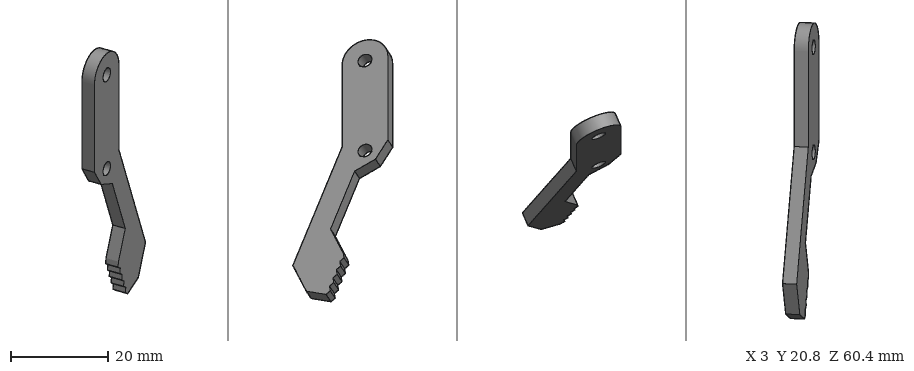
import cadquery as cq
import math

thickness = 3.0

plate_half_width = 5.0
hole_spacing = 22.0
hole_diameter = 3.0
bend_height = 2.0
front_edge_height = 1.5

arm_tilt = math.radians(22.0)
arm_width = 5.0
shoulder_along = 5.05
shoulder_rise = 3.5

back_corner_along = 28.8
jaw_end_along = 34.1
jaw_width = 10.0

tooth_count = 5
tooth_pitch = 2.0
tooth_height = 0.6
teeth_start_along = jaw_end_along - tooth_count * tooth_pitch


def arm_point(along, across):
    """Convert arm coordinates to (Y, Z)."""
    y = plate_half_width + along * math.sin(arm_tilt) - across * math.cos(arm_tilt)
    z = bend_height - along * math.cos(arm_tilt) - across * math.sin(arm_tilt)
    return (y, z)


def tooth_points():
    """Tip and following root of every tooth, from the throat to the jaw end."""
    points = []
    for index in range(tooth_count):
        root_along = teeth_start_along + index * tooth_pitch
        points.append(arm_point(root_along + tooth_pitch / 2, jaw_width + tooth_height))
        points.append(arm_point(root_along + tooth_pitch, jaw_width))
    return points


def lever_blank():
    """Complete outline, extruded centrally about the YZ plane."""
    throat_along = teeth_start_along - (jaw_width - arm_width)
    end_across = jaw_end_along - back_corner_along

    arm_and_jaw = [
        arm_point(shoulder_along - shoulder_rise, arm_width + shoulder_rise),
        arm_point(shoulder_along, arm_width),
        arm_point(throat_along, arm_width),
        arm_point(teeth_start_along, jaw_width),
        *tooth_points(),
        arm_point(jaw_end_along, end_across),
        arm_point(back_corner_along, 0),
        arm_point(0, 0),
    ]

    outline = (
        cq.Workplane("YZ", origin=(-thickness / 2, 0, 0))
        .moveTo(plate_half_width, hole_spacing)
        .threePointArc((0, hole_spacing + plate_half_width), (-plate_half_width, hole_spacing))
        .lineTo(-plate_half_width, front_edge_height)
    )
    for point in arm_and_jaw:
        outline = outline.lineTo(*point)
    return outline.close().extrude(thickness)


def pivot_holes():
    """Two through holes on the plate's centreline."""
    return (
        cq.Workplane("YZ", origin=(-thickness / 2, 0, 0))
        .pushPoints([(0, 0), (0, hole_spacing)])
        .circle(hole_diameter / 2)
        .extrude(thickness)
    )


result = lever_blank().cut(pivot_holes())